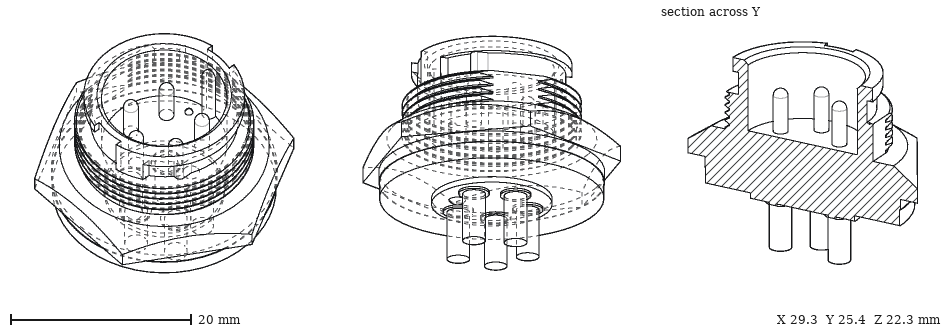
import cadquery as cq

collar_bottom = 5.57
insert_bottom = 5.8
flange_bottom = 6.45
washer_bottom = 8.4
nut_bottom = 9.62
nut_top = 13.52
socket_floor = 13.9
thread_top = 18.0
rim_bottom = 20.6
shell_top = 22.3

flange_radius = 12.45
washer_radius = 12.52
insert_radius = 6.7
nut_across_corners = 29.33
nut_face_radius = 11.65
nut_corner_height = 1.75

thread_radius = 9.95
thread_pitch = 0.9
thread_depth = 0.53
groove_width = 0.8
groove_root_width = 0.18
cutter_overshoot = 0.15
groove_drop = 0.3
turns_below_last_groove = 6
turns_above_last_groove = 1
flat_distance = 9.03

body_radius = 8.2
rim_radius = 8.92
bore_radius = 6.95
bore_chamfer = 0.5
notch_half_width = 1.82
stop_end = 4.9
ramp_rise = 0.62
detent_x = 7.7
detent_y = 4.58
detent_fillet = 0.6

contact_radius = 0.82
contact_tip = 19.0
solder_pin_radius = 1.25
collar_radius = 1.7
contact_points = [
    (0, -4.16),
    (-3.75, -1.6),
    (3.75, -1.6),
    (-2.95, 2.95),
    (2.95, 2.95),
]
guide_pin_point = (0, 6.65)
guide_pin_tip = 21.05
marker_point = (-1.6, 5.07)
marker_radius = 0.45
underside_dome_y = 4.0
underside_dome_radius = 1.17
underside_dome_bottom = 5.35


def disc(radius, bottom, top, center=(0, 0)):
    """Upright cylinder between two levels."""
    return cq.Workplane("XY", origin=(*center, bottom)).circle(radius).extrude(top - bottom)


def block(x_min, x_max, y_min, y_max, bottom, top):
    """Axis-aligned box between the given limits."""
    size = (x_max - x_min, y_max - y_min, top - bottom)
    return cq.Workplane("XY").box(*size, centered=False).translate((x_min, y_min, bottom))


def domed_pin(center, radius, bottom, tip):
    """Upright round pin ending in a hemisphere."""
    dome = cq.Workplane("XY").sphere(radius).translate((*center, tip - radius))
    return disc(radius, bottom, tip - radius, center).union(dome)


def half_turn(solid):
    return solid.rotate((0, 0, 0), (0, 0, 1), 180)


def nut():
    """Hexagon with its top corners turned down to a cone."""
    corner_radius = nut_across_corners / 2
    hexagon = cq.Workplane("XY", origin=(0, 0, nut_bottom))
    hexagon = hexagon.polygon(6, nut_across_corners).extrude(nut_top - nut_bottom)
    cone_envelope = (
        cq.Workplane("XZ")
        .moveTo(0, nut_bottom)
        .lineTo(corner_radius, nut_bottom)
        .lineTo(corner_radius, nut_bottom + nut_corner_height)
        .lineTo(nut_face_radius, nut_top)
        .lineTo(0, nut_top)
        .close()
        .revolve(360, (0, 0, 0), (0, 1, 0))
    )
    return hexagon.intersect(cone_envelope)


def threaded_barrel():
    """Barrel with a right-hand helical V groove and a flat across the thread."""
    root_radius = thread_radius - thread_depth
    flank_slope = (groove_width - groove_root_width) / 2 / thread_depth
    outer_half_width = groove_width / 2 + flank_slope * cutter_overshoot
    root_half_width = groove_root_width / 2
    turns = turns_below_last_groove + turns_above_last_groove
    groove_start = thread_top - groove_drop - turns_below_last_groove * thread_pitch
    helix = cq.Wire.makeHelix(thread_pitch, thread_pitch * turns, root_radius)
    groove = (
        cq.Workplane("XZ")
        .polyline([
            (root_radius, -root_half_width),
            (thread_radius + cutter_overshoot, -outer_half_width),
            (thread_radius + cutter_overshoot, outer_half_width),
            (root_radius, root_half_width),
        ])
        .close()
        .sweep(cq.Workplane(helix), isFrenet=True)
        .translate((0, 0, groove_start))
    )
    beyond_flat = block(
        -nut_across_corners, -flat_distance, -thread_radius, thread_radius, nut_bottom, shell_top
    )
    return disc(thread_radius, nut_bottom, thread_top).cut(groove).cut(beyond_flat)


def bayonet_side():
    """Stop block and detent of the track that starts at the -Y notch."""
    stop = block(notch_half_width, stop_end, -rim_radius, 0, thread_top, shell_top)
    stop = stop.intersect(disc(rim_radius, thread_top, shell_top))
    detent = block(0, detent_x, -detent_y, 0, thread_top, rim_bottom)
    detent = detent.edges("|Z and >X and <Y").fillet(detent_fillet)
    return stop.union(detent)


def ramp_cut():
    """Wedge that thins the rim toward the -Y notch, on the -X side."""
    return (
        cq.Workplane("YZ", origin=(-rim_radius, 0, 0))
        .moveTo(0, rim_bottom)
        .lineTo(-rim_radius, rim_bottom)
        .lineTo(-rim_radius, rim_bottom + ramp_rise)
        .close()
        .extrude(rim_radius)
    )


def shell():
    """Socket body with its notched rim, ramps, stops and detents."""
    notches = block(
        -notch_half_width, notch_half_width, -rim_radius, rim_radius, rim_bottom, shell_top
    )
    rim = disc(rim_radius, rim_bottom, shell_top).cut(notches)
    rim = rim.cut(ramp_cut()).cut(half_turn(ramp_cut()))
    body = disc(body_radius, nut_bottom, shell_top).union(rim)
    return body.union(bayonet_side()).union(half_turn(bayonet_side()))


def socket_bore():
    bore = disc(bore_radius, socket_floor, shell_top)
    mouth = cq.Workplane("XY", origin=(0, 0, shell_top)).circle(bore_radius + bore_chamfer)
    return bore.union(mouth.extrude(-bore_chamfer, taper=45))


result = disc(insert_radius, insert_bottom, flange_bottom)
result = result.union(disc(flange_radius, flange_bottom, washer_bottom))
result = result.union(disc(washer_radius, washer_bottom, nut_bottom))
result = result.union(threaded_barrel()).union(nut()).union(shell())
result = result.cut(socket_bore())

for point in contact_points:
    result = result.union(domed_pin(point, contact_radius, nut_top, contact_tip))
    result = result.union(disc(collar_radius, collar_bottom, insert_bottom, point))
    result = result.union(disc(solder_pin_radius, 0, insert_bottom, point))

result = result.union(domed_pin(guide_pin_point, contact_radius, nut_top, guide_pin_tip))
marker = cq.Workplane("XY").sphere(marker_radius).translate((*marker_point, socket_floor))
result = result.union(marker)

dome_center = (0, underside_dome_y, underside_dome_bottom + underside_dome_radius)
result = result.union(cq.Workplane("XY").sphere(underside_dome_radius).translate(dome_center))